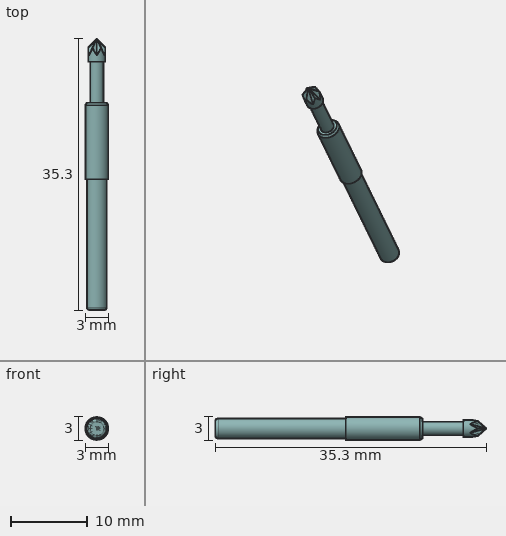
import cadquery as cq
import math

total_length = 35.3
tip_y = total_length / 2
tail_y = -total_length / 2

head_radius = 1.13
head_length = 3.0
ridge_count = 6
ridge_run = 1.13
valley_run = 2.12

neck_radius = 0.9
neck_end = 8.3

collar_radius = 1.5
collar_end = 18.3
mouth_chamfer_length = 0.35
mouth_chamfer_depth = 0.2

tail_radius = 1.3
tail_fillet = 0.4


def cylinder(radius, start, end):
    """Cylinder on the Y axis between two distances behind the tip."""
    plane = cq.Plane(origin=(0, tip_y - start, 0), xDir=(1, 0, 0), normal=(0, -1, 0))
    return cq.Workplane(plane).circle(radius).extrude(end - start)


def star_pyramid():
    """Pyramid with alternating ridges and valleys, as long as the head."""
    base_y = tip_y - head_length
    ridge_radius = head_radius * head_length / ridge_run
    valley_radius = head_radius * head_length / valley_run
    corner_count = 2 * ridge_count
    corners = []
    for index in range(corner_count):
        radius = ridge_radius if index % 2 == 0 else valley_radius
        angle = 2 * math.pi * index / corner_count
        corners.append(cq.Vector(radius * math.cos(angle), base_y, radius * math.sin(angle)))

    apex = cq.Vector(0, tip_y, 0)
    faces = [cq.Face.makeFromWires(cq.Wire.makePolygon(corners, close=True))]
    for index, corner in enumerate(corners):
        next_corner = corners[(index + 1) % corner_count]
        side = cq.Wire.makePolygon([apex, corner, next_corner], close=True)
        faces.append(cq.Face.makeFromWires(side))
    return cq.Workplane(cq.Solid.makeSolid(cq.Shell.makeShell(faces)))


def collar():
    """Barrel collar, chamfered around its mouth."""
    mouth_y = tip_y - neck_end
    shoulder_y = tip_y - collar_end
    profile = [
        (0, shoulder_y),
        (collar_radius, shoulder_y),
        (collar_radius, mouth_y - mouth_chamfer_length),
        (collar_radius - mouth_chamfer_depth, mouth_y),
        (0, mouth_y),
    ]
    return cq.Workplane("XY").polyline(profile).close().revolve(360, (0, 0), (0, 1))


head = cylinder(head_radius, 0, head_length).intersect(star_pyramid())
neck = cylinder(neck_radius, head_length, neck_end)
tail = cylinder(tail_radius, collar_end, tip_y - tail_y).faces("<Y").edges().fillet(tail_fillet)

result = head.union(neck).union(collar()).union(tail)